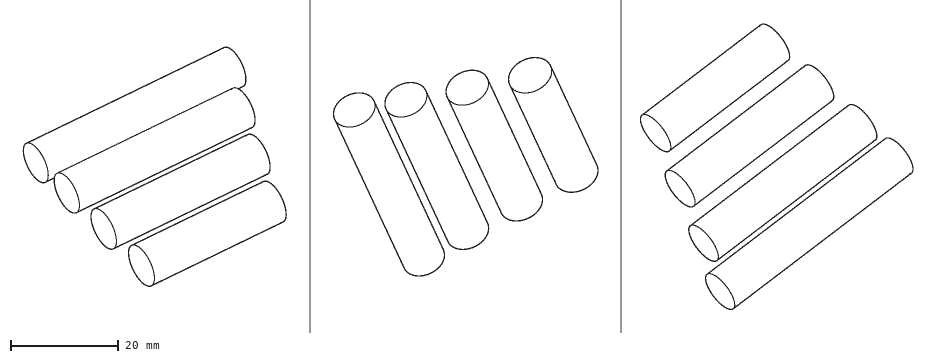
import cadquery as cq

LONGEST_LENGTH = 45.0
LENGTH_STEP = LONGEST_LENGTH / 9
PIN_DIAMETERS = [8.1, 8.2, 8.3, 8.4]
TOTAL_WIDTH = 42.45

LAST_PIN_X = TOTAL_WIDTH - (PIN_DIAMETERS[0] + PIN_DIAMETERS[-1]) / 2
PIN_CENTERS_X = [0.0, 10.05, 21.95, LAST_PIN_X]


def make_pin(diameter, length, center_x):
    """Plain cylinder along +Y from Y = 0, resting on Z = 0."""
    radius = diameter / 2
    base_center = cq.Vector(center_x, 0, radius)
    return cq.Solid.makeCylinder(radius, length, base_center, cq.Vector(0, 1, 0))


pins = []
for index, (diameter, center_x) in enumerate(zip(PIN_DIAMETERS, PIN_CENTERS_X)):
    length = LONGEST_LENGTH - index * LENGTH_STEP
    pins.append(make_pin(diameter, length, center_x))

result = cq.Compound.makeCompound(pins)